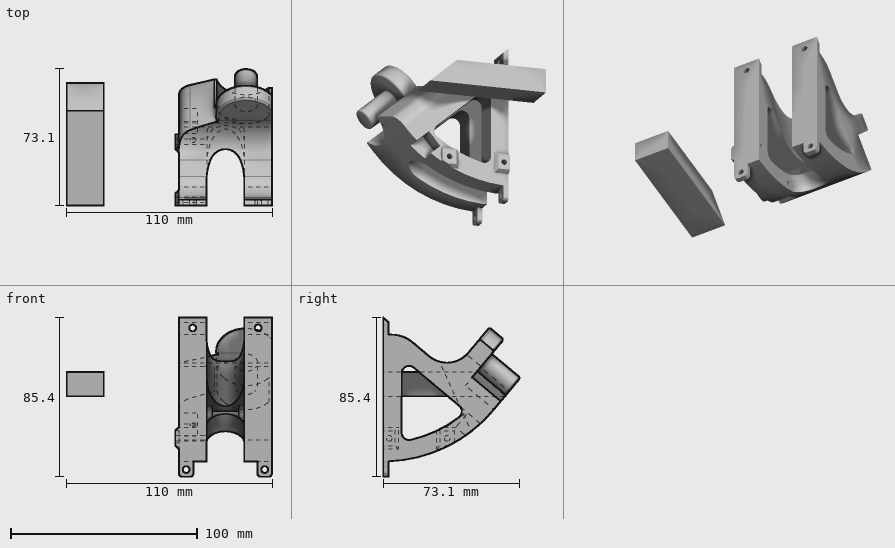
import cadquery as cq
import math


total_width = 110.0
height = 85.4
leg_width = 15.0
channel_width = 20.0
half_width = leg_width + channel_width / 2
plate_thickness = 3.0
tilt = math.radians(40)

sweep_radius = 77.1
wall = 10.0
hollow_radius = 15.0
crown_radius = 17.6
crown_back = 20.6
window_fillet = 4.0
sharp_tip_width = 14.1

knob_x = 11.0
knob_up = 16.5
disc_radius = 16.1
disc_thickness = 10.0
pin_radius = 6.0
pin_length = 20.0
knob_fillet = 1.1

shoulder_radius = 9.0
shoulder_slope = math.radians(20)
crest_up = 13.6
clearance_crest_up = 13.2
clearance_right_up = 6.2

channel_lean = math.radians(24.5)
channel_end = (30.1, 61.7)

mount_hole_diameter = 3.5
upper_hole_z = 79.8
lug_width = 7.9
lug_fillet = 2.0
leg_bottom = height - sweep_radius

pad_height = 2.0
pad_face = 7.9
pad_flare = 1.9
pad_z = 20.8
front_pad_y = 2.4
front_pad_hole_y = 3.2
rear_pad_y = 34.2
pad_hole_diameter = 3.1

pocket_width = 10.0
pocket_depth = 9.7
dimple_diameter = 3.1
dimple_depth = 0.2
dimple_angle = math.radians(31.6)

wedge_width = 20.0
wedge_bottom = 43.1
wedge_height = 13.1
wedge_bottom_length = 65.7
wedge_top_length = 50.7

far = 2 * total_width


def tilted(back, up=0.0):
    """(Y, Z) of a point given along the tilted direction and square to it."""
    return (
        back * math.cos(tilt) + up * math.sin(tilt),
        height - back * math.sin(tilt) + up * math.cos(tilt),
    )


def on_circle(center, radius, angle):
    """(Y, Z) on a circle, at an angle from straight down toward +Y."""
    return (center[0] + radius * math.sin(angle), center[1] - radius * math.cos(angle))


def tilted_plane(back, up=0.0, x=0.0):
    """Plane square to the tilted direction, facing forward, with its local y pointing up."""
    y, z = tilted(back, up)
    return cq.Plane(origin=(x, y, z), xDir=(1, 0, 0), normal=(0, -math.cos(tilt), math.sin(tilt)))


top_corner = (0.0, height)
disc_front_back = sweep_radius - disc_thickness - pin_length
hollow_center = tilted(disc_front_back - hollow_radius, hollow_radius)
crown_center = tilted(crown_back, -crown_radius)


def arc_height(radius, y):
    """Height at y of the lower half of a circle centred on the upper front corner."""
    return height - math.sqrt(radius**2 - y**2)


def make_side_profile():
    crown_top_z = crown_center[1] + crown_radius
    plate_top_z = height - plate_thickness * math.tan(tilt)
    under_front = (plate_thickness, arc_height(sweep_radius, plate_thickness))
    square_to_tilt = math.pi / 2 - tilt
    return (
        cq.Workplane("YZ")
        .moveTo(0, leg_bottom)
        .lineTo(plate_thickness, leg_bottom)
        .lineTo(*under_front)
        .threePointArc(on_circle(top_corner, sweep_radius, square_to_tilt / 2), tilted(sweep_radius))
        .lineTo(*tilted(sweep_radius, knob_up))
        .lineTo(*tilted(disc_front_back, knob_up))
        .lineTo(*tilted(disc_front_back, hollow_radius))
        .threePointArc(on_circle(hollow_center, hollow_radius, square_to_tilt / 2),
                       on_circle(hollow_center, hollow_radius, 0))
        .threePointArc(on_circle(hollow_center, hollow_radius, -tilt / 2),
                       on_circle(hollow_center, hollow_radius, -tilt))
        .lineTo(*tilted(crown_back))
        .threePointArc(on_circle(crown_center, crown_radius, math.pi - tilt / 2),
                       (crown_center[0], crown_top_z))
        .lineTo(plate_thickness, crown_top_z)
        .lineTo(plate_thickness, plate_top_z)
        .lineTo(0, height)
        .close()
        .extrude(half_width, both=True)
    )


def make_sharp_window(width):
    """Opening a constant wall inside the outline, before its corners are rounded."""
    inner_radius = sweep_radius - wall
    top_front = (wall, height - (wall + wall * math.sin(tilt)) / math.cos(tilt))
    tip_angle = math.pi / 2 - tilt - math.asin(wall / inner_radius)
    tip = on_circle(top_corner, inner_radius, tip_angle)
    return (
        cq.Workplane("YZ")
        .moveTo(wall, arc_height(inner_radius, wall))
        .threePointArc(on_circle(top_corner, inner_radius, tip_angle / 2), tip)
        .lineTo(*top_front)
        .close()
        .extrude(width / 2, both=True)
    )


def make_window():
    rounded = make_sharp_window(2 * half_width).edges("|X").fillet(window_fillet)
    return rounded.union(make_sharp_window(sharp_tip_width))


def make_cross_profile():
    """Outline seen along the tilted direction: round left shoulder rising to the foot of the disc."""
    slope_x = -half_width + shoulder_radius * (1 - math.sin(shoulder_slope))
    slope_up = shoulder_radius * math.cos(shoulder_slope)
    mid_angle = (math.pi / 2 + shoulder_slope) / 2
    arc_x = -half_width + shoulder_radius
    step_x = knob_x - disc_radius + knob_fillet
    crest_x = slope_x + (crest_up - slope_up) / math.tan(shoulder_slope)
    return (
        cq.Workplane(tilted_plane(far))
        .moveTo(-half_width, -far)
        .lineTo(-half_width, 0)
        .threePointArc((arc_x - shoulder_radius * math.sin(mid_angle),
                        shoulder_radius * math.cos(mid_angle)), (slope_x, slope_up))
        .lineTo(crest_x, crest_up)
        .lineTo(step_x, crest_up)
        .lineTo(step_x, hollow_radius)
        .lineTo(half_width, hollow_radius)
        .lineTo(half_width, -far)
        .close()
        .extrude(2 * far)
    )


def make_pin_clearance():
    """Space around the pin, as deep as the pin is long."""
    around_pin = (
        cq.Workplane(tilted_plane(sweep_radius, knob_up, knob_x)).circle(disc_radius).extrude(pin_length)
    )
    above_crest = (
        cq.Workplane(tilted_plane(sweep_radius, clearance_crest_up))
        .rect(far, far / 2, centered=(True, False))
        .extrude(pin_length)
    )
    right_side = (
        cq.Workplane(tilted_plane(sweep_radius, clearance_right_up, knob_x))
        .rect(far, far / 2, centered=(False, False))
        .extrude(pin_length)
    )
    return around_pin.union(above_crest).union(right_side)


def make_knob():
    pin = (
        cq.Workplane(tilted_plane(sweep_radius, knob_up, knob_x))
        .circle(pin_radius)
        .extrude(pin_length)
        .faces(cq.selectors.DirectionMinMaxSelector(cq.Vector(0, math.cos(tilt), -math.sin(tilt))))
        .edges()
        .fillet(knob_fillet)
    )
    disc = (
        cq.Workplane(tilted_plane(sweep_radius - pin_length, knob_up, knob_x))
        .circle(disc_radius)
        .extrude(disc_thickness)
        .edges()
        .fillet(knob_fillet)
    )
    beyond_right_side = cq.Workplane("YZ").workplane(offset=half_width).rect(far, far).extrude(far)
    return disc.union(pin).cut(beyond_right_side)


def make_channel():
    """Slot between the legs, open to the front, with a leaning half-round end."""
    end_y, end_z = channel_end
    plane = cq.Plane(
        origin=(0, end_y, end_z),
        xDir=(1, 0, 0),
        normal=(0, -math.sin(channel_lean), math.cos(channel_lean)),
    )
    radius = channel_width / 2
    return (
        cq.Workplane(plane)
        .moveTo(-radius, -far)
        .lineTo(-radius, -radius)
        .threePointArc((0, 0), (radius, -radius))
        .lineTo(radius, -far)
        .close()
        .extrude(far, both=True)
    )


def make_lug(side):
    """Lug below one leg; side is -1 for the left and 1 for the right."""
    return (
        cq.Workplane("XY")
        .box(lug_width, plate_thickness, 2 * leg_bottom, centered=(True, False, False))
        .edges("|Y and <Z")
        .fillet(lug_fillet)
        .translate((side * (half_width - lug_width / 2), 0, 0))
    )


def make_mount_holes():
    upper_x = half_width - leg_width / 2
    lower_x = half_width - lug_width / 2
    places = []
    for side in (-1, 1):
        places.append((side * upper_x, upper_hole_z))
        places.append((side * lower_x, lug_width / 2))
    return cq.Workplane("XZ").pushPoints(places).circle(mount_hole_diameter / 2).extrude(-plate_thickness)


def make_pad(center_y):
    """Raised square with sloping sides on the left face."""
    base = pad_face + 2 * pad_flare
    return (
        cq.Workplane("YZ", origin=(-half_width, center_y, pad_z))
        .rect(base, base)
        .workplane(offset=-pad_height)
        .rect(pad_face, pad_face)
        .loft()
    )


def make_pad_hole(center_y):
    return (
        cq.Workplane("YZ", origin=(-half_width - pad_height, center_y, pad_z))
        .circle(pad_hole_diameter / 2)
        .extrude(pad_height + leg_width)
    )


def make_side_pocket():
    """Square pocket in the left leg, open to the left and to the underside."""
    center_up = -wall - pocket_width / 2
    return (
        cq.Workplane(tilted_plane(far, center_up, -half_width))
        .rect(2 * pocket_width, pocket_width)
        .extrude(far - sweep_radius + pocket_depth)
    )


def make_dimple():
    """Shallow round recess in the floor of the window, in the middle of the left leg."""
    y, z = on_circle(top_corner, sweep_radius - wall, dimple_angle)
    plane = cq.Plane(
        origin=(-half_width + leg_width / 2, y, z),
        xDir=(1, 0, 0),
        normal=(0, math.sin(dimple_angle), -math.cos(dimple_angle)),
    )
    return cq.Workplane(plane).circle(dimple_diameter / 2).extrude(dimple_depth)


def make_pads(body):
    """Both pads, trimmed to the side outline of the body and square at their outer ends."""
    rear_limit = rear_pad_y + pad_face / 2
    limit = (
        cq.Workplane("XY", origin=(-half_width, 0, 0))
        .box(2 * pad_height, rear_limit, height, centered=(True, False, False))
    )
    outline = body.translate((-pad_height, 0, 0))
    return make_pad(front_pad_y).union(make_pad(rear_pad_y)).intersect(limit).intersect(outline)


def make_bracket():
    body = make_side_profile().cut(make_window())
    pads = make_pads(body)
    body = body.intersect(make_cross_profile()).cut(make_pin_clearance())
    body = body.union(make_knob()).union(pads)
    for side in (-1, 1):
        body = body.union(make_lug(side))
    body = body.cut(make_channel()).cut(make_mount_holes()).cut(make_side_pocket()).cut(make_dimple())
    for hole_y in (front_pad_hole_y, rear_pad_y):
        body = body.cut(make_pad_hole(hole_y))
    return body


def make_wedge():
    return (
        cq.Workplane("YZ", origin=(half_width - total_width, 0, wedge_bottom))
        .lineTo(wedge_bottom_length, 0)
        .lineTo(wedge_top_length, wedge_height)
        .lineTo(0, wedge_height)
        .close()
        .extrude(wedge_width)
    )


bracket = make_bracket()
wedge = make_wedge()

result = cq.Compound.makeCompound([bracket.val(), wedge.val()])